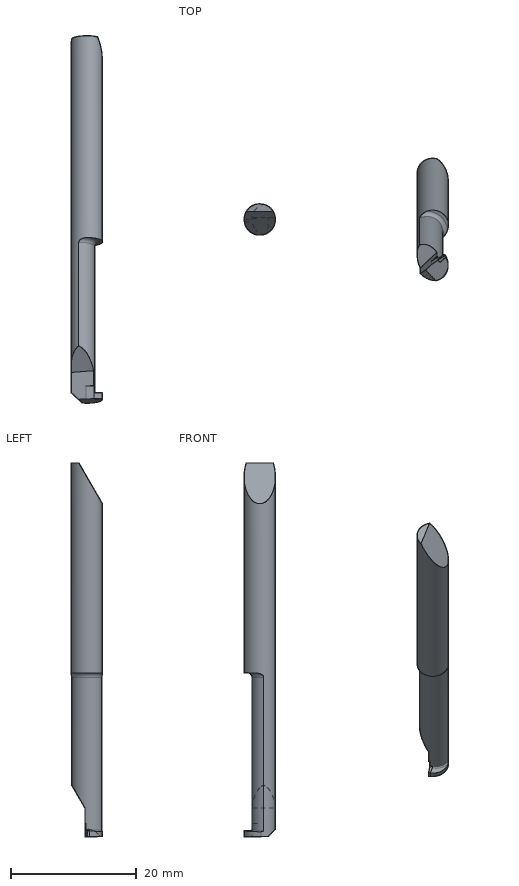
import cadquery as cq
import math

shank_radius = 2.5
total_length = 59.5

bevel_start_y = 1.25
bevel_angle = 30

neck_offset = 1.25
neck_top = 26.1
neck_top_fillet = 0.7
neck_left = neck_offset - shank_radius

flat_y = 0.3
flat_top = 4.6
flat_run_out_angle = 30

tip_width = 1.0
tip_fillet = 0.2
ledge_angle = 4

land_start_y = -0.1
land_end_y = -0.4
land_end_x = -2.46
tip_arc_mid = (-1.1, -2.2)
tip_arc_end_x = 0.23

rake_angle = 9
rake_height = 2.15

bottom_angle = 1

end_chamfer = 1.25

clearance = 2.0
reach = shank_radius + clearance


def prism_along_x(points):
    """Extrude a YZ outline across the full width of the part."""
    return cq.Workplane("YZ").polyline(points).close().extrude(reach, both=True)


def top_bevel():
    depth = (bevel_start_y + reach) / math.tan(math.radians(bevel_angle))
    points = [(bevel_start_y, total_length), (-reach, total_length), (-reach, total_length - depth)]
    return prism_along_x(points)


def lower_flat():
    run_out = (reach - flat_y) / math.tan(math.radians(flat_run_out_angle))
    points = [(flat_y, -clearance), (flat_y, flat_top), (reach, flat_top + run_out), (reach, -clearance)]
    return prism_along_x(points)


def ledge_block():
    """Everything below the tip ledge, which is highest at the rake face."""
    slope = math.tan(math.radians(ledge_angle))
    front_z = tip_width - (reach + land_start_y) * slope
    back_z = tip_width + (reach - land_start_y) * slope
    return prism_along_x([(-reach, 0), (reach, 0), (reach, back_z), (-reach, front_z)])


def neck_recess():
    """Space around the neck, rounded under the shank shoulder and standing on the sloping ledge."""
    inner = shank_radius
    outer = neck_offset + reach
    arc_point = 1 - math.sqrt(0.5)
    profile = (
        cq.Workplane("XZ")
        .moveTo(inner, 0)
        .lineTo(inner, neck_top - neck_top_fillet)
        .threePointArc(
            (inner + neck_top_fillet * arc_point, neck_top - neck_top_fillet * arc_point),
            (inner + neck_top_fillet, neck_top),
        )
        .lineTo(outer, neck_top)
        .lineTo(outer, 0)
        .close()
    )
    ring = profile.revolve(360, (0, 0, 0), (0, 1, 0)).translate((neck_offset, 0, 0))
    recess = ring.cut(ledge_block())
    foot = cq.selectors.NearestToPointSelector((neck_left, 0, tip_width))
    return recess.edges(foot).fillet(tip_fillet)


def bottom_relief():
    """Block below the bottom face, which rises away from the cutting corner."""
    size = 4 * reach
    corner = (-shank_radius, land_start_y, 0)
    block = cq.Workplane("XY").box(size, size, clearance, centered=(True, True, False))
    block = block.translate((0, 0, -clearance))
    block = block.rotate((0, 0, 0), (0, 1, 0), -bottom_angle)
    block = block.rotate((0, 0, 0), (1, 0, 0), -bottom_angle)
    return block.translate(corner)


def tip_side_relief():
    """Material removed outside the land and the relieved arc of the tip."""
    arc_end_y = -math.sqrt(shank_radius**2 - tip_arc_end_x**2)
    return (
        cq.Workplane("XY")
        .moveTo(-shank_radius, land_start_y)
        .lineTo(land_end_x, land_end_y)
        .threePointArc(tip_arc_mid, (tip_arc_end_x, arc_end_y))
        .lineTo(tip_arc_end_x, -reach)
        .lineTo(-reach, -reach)
        .lineTo(-reach, land_start_y)
        .close()
        .extrude(tip_width)
    )


def rake_cut():
    """Wedge above the sloping rake face, ending at a wall across the neck."""
    rake_end_x = -shank_radius + (flat_y - land_start_y) / math.tan(math.radians(rake_angle))
    return (
        cq.Workplane("XY")
        .polyline([(-shank_radius, land_start_y), (rake_end_x, flat_y), (-shank_radius, flat_y)])
        .close()
        .extrude(rake_height)
    )


def end_chamfer_cut():
    points = [(shank_radius, 0), (shank_radius, end_chamfer), (shank_radius - end_chamfer, 0)]
    return cq.Workplane("XZ").polyline(points).close().extrude(reach, both=True)


def insert_block():
    """Space of the cutting insert: the tip beside the neck, from the land up to the rake face."""
    length = neck_left + shank_radius
    depth = flat_y - land_end_y
    return (
        cq.Workplane("XY")
        .box(length, depth, rake_height, centered=False)
        .translate((-shank_radius, land_end_y, 0))
    )


bar = cq.Workplane("XY").circle(shank_radius).extrude(total_length)
for cutter in (
    top_bevel(),
    lower_flat(),
    neck_recess(),
    tip_side_relief(),
    rake_cut(),
    end_chamfer_cut(),
    bottom_relief(),
):
    bar = bar.cut(cutter)

insert = bar.intersect(insert_block())
holder = bar.cut(insert_block())

result = cq.Compound.makeCompound([holder.val(), insert.val()])